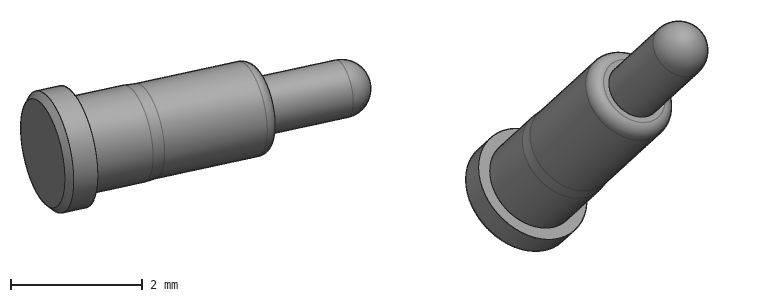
import cadquery as cq

total_length = 5.4

flange_radius = 0.95
flange_length = 0.5
flange_chamfer = 0.1

press_fit_radius = 0.755
press_fit_end = 1.5

barrel_radius = 0.74
barrel_start = 1.7
barrel_end = 3.6
barrel_fillet = 0.2

plunger_radius = 0.45


def revolve_about_y(profile):
    return profile.close().revolve(360, (0, 0, 0), (0, 1, 0))


def make_flange():
    flange = cq.Workplane("XZ").circle(flange_radius).extrude(-flange_length)
    return flange.faces("<Y").chamfer(flange_chamfer)


def make_barrel():
    profile = (
        cq.Workplane("XY")
        .moveTo(0, 0)
        .lineTo(press_fit_radius, 0)
        .lineTo(press_fit_radius, press_fit_end)
        .lineTo(barrel_radius, barrel_start)
        .lineTo(barrel_radius, barrel_end)
        .lineTo(0, barrel_end)
    )
    return revolve_about_y(profile).faces(">Y").edges().fillet(barrel_fillet)


def make_plunger():
    dome_start = total_length - plunger_radius
    profile = (
        cq.Workplane("XY")
        .moveTo(0, flange_length)
        .lineTo(plunger_radius, flange_length)
        .lineTo(plunger_radius, dome_start)
        .radiusArc((0, total_length), -plunger_radius)
    )
    return revolve_about_y(profile)


result = make_flange().union(make_barrel()).union(make_plunger())